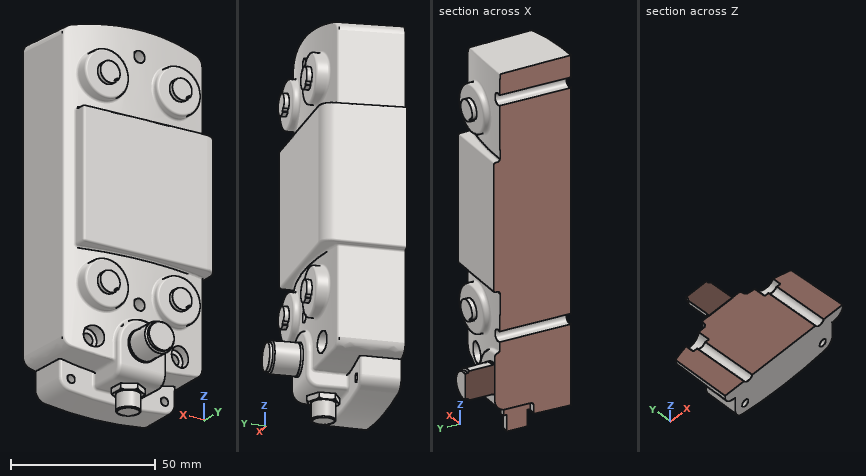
import cadquery as cq
import math


draft = 1.0

body_half_width = 29.6
body_top = 136.5
body_bottom = 10.1
end_arc_radius = 120.8
body_corner_radius = 4.0
dome_top = 28.2
dome_radius = 110.2
rim_radius = 0.8

tab_half_width = 24.5
tab_thickness = 14.9
tab_arc_radius = 151.6
tab_corner_radius = 4.5
tab_edge_radius = 1.0

panel_left = -31.9
panel_right = 25.4
panel_bottom = 50.8
panel_top = 102.5
panel_front = 30.6
panel_corner_radius = 4.8
panel_edge_radius = 0.8
panel_blend_radius = 0.8

boss_radius = 9.1
boss_edge_radius = 0.8
boss_blend_radius = 0.8
socket_x = 15.0
socket_heights = (37.8, 115.5)
sockets = [(x, z) for x in (-socket_x, socket_x) for z in socket_heights]

plug_height = 17.7
block_radius = 10.0
block_bottom = 4.8
block_front = 30.2
block_corner_radius = 4.5
block_edge_radius = 1.3
block_blend_radius = 1.0

mount_hole_radius = 2.2
center_hole_heights = (33.7, 125.7)
side_hole_x = 18.0
side_hole_height = 18.7
counterbore_radius = 4.0
counterbore_depth = 4.2
tab_hole_radius = 1.5
tab_hole_x = 19.5
tab_hole_height = 6.2

socket_radius = 4.1
socket_front = 32.5
key_width = 1.5
key_depth = 0.7
key_angle = 225.0

collar_radius = 6.0
collar_length = 0.8
plug_radius = 5.9
plug_shoulder = 40.3
plug_taper_end = 40.9
plug_tip_radius = 5.2
plug_front = 42.0

lower_connector_y = 21.3
nut_across_corners = 11.8
nut_bottom = 2.5
nut_chamfer = 0.4
lower_radius = 4.4
lower_end = -4.0
lower_chamfer = 0.4

seam_tolerance = 0.001


def arc_drop(radius, half_chord):
    """Height of an arc of the given radius above its chord."""
    return radius - math.sqrt(radius**2 - half_chord**2)


def from_back(y=0.0):
    """Sketch plane parallel to the mounting face; local x is X and local y is Z."""
    return cq.Workplane("XZ", origin=(0, y, 0))


def rod(x, z, radius, y_start, y_end):
    """Cylinder along Y."""
    return from_back(y_start).center(x, z).circle(radius).extrude(y_start - y_end)


def make_main_body():
    drop = arc_drop(end_arc_radius, body_half_width)
    shape = (
        from_back()
        .moveTo(-body_half_width, body_bottom + drop)
        .threePointArc((0, body_bottom), (body_half_width, body_bottom + drop))
        .lineTo(body_half_width, body_top - drop)
        .threePointArc((0, body_top), (-body_half_width, body_top - drop))
        .close()
        .extrude(-panel_front, taper=draft)
        .edges("not(<Y or >Y)")
        .fillet(body_corner_radius)
    )
    dome = (
        cq.Workplane("XY")
        .center(0, dome_top - dome_radius)
        .circle(dome_radius)
        .extrude(body_top)
    )
    return shape.intersect(dome).faces(">Y").edges().fillet(rim_radius)


def make_tab():
    drop = arc_drop(tab_arc_radius, tab_half_width)
    return (
        from_back()
        .moveTo(-tab_half_width, drop)
        .threePointArc((0, 0), (tab_half_width, drop))
        .lineTo(tab_half_width, plug_height)
        .lineTo(-tab_half_width, plug_height)
        .close()
        .extrude(-tab_thickness, taper=draft)
        .edges("not(<Y or >Y)")
        .edges("<Z")
        .fillet(tab_corner_radius)
        .faces(">Y")
        .edges("not(>Z)")
        .fillet(tab_edge_radius)
    )


def make_panel():
    """Block that starts at the mounting face and stands proud of the body in front and on the -X side."""
    return (
        from_back()
        .center((panel_left + panel_right) / 2, (panel_bottom + panel_top) / 2)
        .rect(panel_right - panel_left, panel_top - panel_bottom)
        .extrude(-panel_front, taper=draft)
        .faces(">Y")
        .edges("<X")
        .fillet(panel_corner_radius)
        .faces("<Z or >Z or >X")
        .edges("not(<Y)")
        .fillet(panel_edge_radius)
    )


def make_boss(x, z):
    return rod(x, z, boss_radius, dome_top / 2, panel_front).faces(">Y").edges().fillet(boss_edge_radius)


def make_block():
    """Block that carries the plug on its front and the lower connector underneath."""
    return (
        from_back(tab_thickness / 2)
        .moveTo(-block_radius, block_bottom)
        .lineTo(block_radius, block_bottom)
        .lineTo(block_radius, plug_height)
        .threePointArc((0, plug_height + block_radius), (-block_radius, plug_height))
        .close()
        .extrude(tab_thickness / 2 - block_front)
        .faces(">Y")
        .edges("<Z")
        .fillet(block_corner_radius)
        .faces(">Y")
        .edges("|Z")
        .fillet(block_edge_radius)
    )


def joined(first, second, blend_radius):
    """Union of two shapes, with the edges along which they meet rounded off."""

    def lies_on_both(edge):
        middle = cq.Vertex.makeVertex(*edge.positionAt(0.5).toTuple())
        return all(middle.distance(shape.val().Shells()[0]) < seam_tolerance for shape in (first, second))

    whole = first.union(second)
    seam = [edge for edge in whole.val().Edges() if lies_on_both(edge)]
    return whole.newObject(seam).fillet(blend_radius)


def make_housing():
    housing = joined(make_main_body(), make_panel(), panel_blend_radius)
    housing = joined(housing.union(make_tab()), make_block(), block_blend_radius)
    for x, z in sockets:
        housing = joined(housing, make_boss(x, z), boss_blend_radius)
    for z in center_hole_heights:
        housing = housing.cut(rod(0, z, mount_hole_radius, 0, dome_top))
    for side in (-1, 1):
        x = side * side_hole_x
        floor = dome_top - arc_drop(dome_radius, side_hole_x) - counterbore_depth
        housing = housing.cut(rod(x, side_hole_height, mount_hole_radius, 0, dome_top))
        housing = housing.cut(rod(x, side_hole_height, counterbore_radius, floor, dome_top))
        housing = housing.cut(rod(side * tab_hole_x, tab_hole_height, tab_hole_radius, 0, tab_thickness))
    return housing


def make_socket(x, z):
    """Short round insert with a key slot in its rim."""
    key = (
        from_back(panel_front)
        .center(socket_radius, 0)
        .rect(2 * key_depth, key_width)
        .extrude(panel_front - socket_front)
        .rotate((0, 0, 0), (0, 1, 0), -key_angle)
    )
    return rod(0, 0, socket_radius, panel_front, socket_front).cut(key).translate((x, 0, z))


def make_plug():
    collar_front = block_front + collar_length
    return (
        cq.Workplane("XY", origin=(0, 0, plug_height))
        .moveTo(0, block_front)
        .lineTo(collar_radius, block_front)
        .lineTo(collar_radius, collar_front)
        .lineTo(plug_radius, collar_front)
        .lineTo(plug_radius, plug_shoulder)
        .lineTo(plug_tip_radius, plug_taper_end)
        .lineTo(plug_tip_radius, plug_front)
        .lineTo(0, plug_front)
        .close()
        .revolve(360, (0, 0), (0, 1))
    )


def make_lower_connector():
    """Hexagonal nut with a round barrel that points down."""
    base = cq.Workplane("XY", origin=(0, lower_connector_y, block_bottom))
    nut_height = block_bottom - nut_bottom
    rounding = base.circle(nut_across_corners / 2).extrude(-nut_height).faces("<Z").chamfer(nut_chamfer)
    nut = base.transformed(rotate=(0, 0, 90)).polygon(6, nut_across_corners).extrude(-nut_height)
    barrel = base.circle(lower_radius).extrude(lower_end - block_bottom).faces("<Z").chamfer(lower_chamfer)
    return nut.intersect(rounding).union(barrel)


housing = make_housing()
socket_inserts = [make_socket(x, z).val() for x, z in sockets]
plug = make_plug()
lower_connector = make_lower_connector()

result = cq.Compound.makeCompound([housing.val(), *socket_inserts, plug.val(), lower_connector.val()])